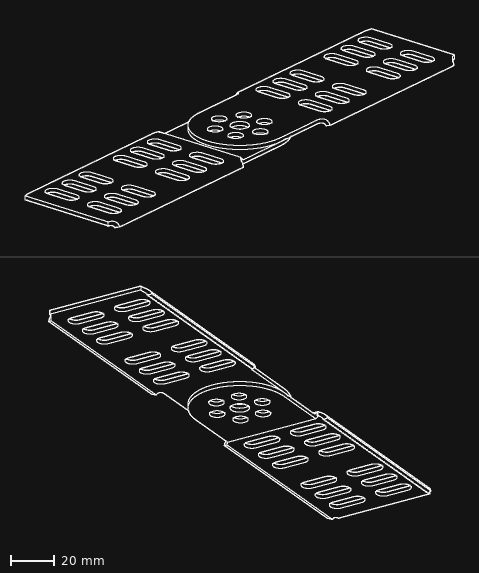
import cadquery as cq
import math


thickness = 2.0
half_length = 127.0
half_width = 24.0

flange_reach = 4.0
bend_angle = math.radians(75)
bend_outer_radius = flange_reach / math.sin(bend_angle)
bend_inner_radius = bend_outer_radius - thickness
flange_root = 27.2
relief_radius = 4.5
end_tab_width = 0.8

joggle_angle = math.radians(45)
joggle_end = 29.2
joggle_start = joggle_end - thickness / math.tan(joggle_angle)
joggle_offset = thickness * math.tan(joggle_angle / 2)

slot_length = 18.0
slot_width = 7.0
slot_first = 40.0
slot_row_span = 75.0
slot_row_steps = (0, 1, 2, 4, 5, 6)
slot_pitch = slot_row_span / slot_row_steps[-1]
slot_columns = (-slot_pitch, slot_pitch)

pivot_diameter = 9.0
index_hole_diameter = 7.0
index_circle_radius = 12.2
index_hole_count = 6
full_turn = 360

cut_depth = 4 * thickness


def bend_point(radius, angle):
    """Point of the bend at an angle from its start at the web, in the XZ plane."""
    x = half_width + radius * math.sin(angle)
    z = thickness - bend_outer_radius + radius * math.cos(angle)
    return (x, z)


def curled_strip(start):
    """Curved strip along the +X edge of the web, from Y = start to the plate end."""
    half_angle = bend_angle / 2
    return (
        cq.Workplane("XZ", origin=(0, start, 0))
        .moveTo(*bend_point(bend_outer_radius, 0))
        .threePointArc(bend_point(bend_outer_radius, half_angle), bend_point(bend_outer_radius, bend_angle))
        .lineTo(*bend_point(bend_inner_radius, bend_angle))
        .threePointArc(bend_point(bend_inner_radius, half_angle), bend_point(bend_inner_radius, 0))
        .close()
        .extrude(start - half_length)
    )


def relief_depth(across):
    """Length along Y in which a corner relief, starting parallel to Y, moves outward by `across`."""
    return math.sqrt(relief_radius ** 2 - (relief_radius - across) ** 2)


def flange(start):
    """One +X flange of a plate running along +Y, with concave relief at both corners."""
    tab_edge = half_width + end_tab_width
    free_edge = half_width + flange_reach
    inner_mid = flange_reach / 2
    outer_rise = free_edge - tab_edge
    outer_mid = outer_rise / 2
    plan = (
        cq.Workplane("XY")
        .workplane(offset=-cut_depth / 2)
        .moveTo(half_width, flange_root)
        .threePointArc(
            (half_width + inner_mid, flange_root + relief_depth(inner_mid)),
            (free_edge, flange_root + relief_depth(flange_reach)),
        )
        .lineTo(free_edge, half_length - relief_depth(outer_rise))
        .threePointArc(
            (tab_edge + outer_mid, half_length - relief_depth(outer_mid)),
            (tab_edge, half_length),
        )
        .lineTo(half_width, half_length)
        .close()
        .extrude(cut_depth)
    )
    return curled_strip(start).intersect(plan)


def add_flanges(web, start):
    """Join a flange to each long edge of the web."""
    right = flange(start)
    return web.union(right).union(right.mirror("YZ"))


def rounded_plan():
    """Plate plan along +Y with a full-round end about the pivot."""
    return (
        cq.Workplane("XY")
        .workplane(offset=-cut_depth / 2)
        .moveTo(-half_width, half_length)
        .lineTo(-half_width, 0)
        .threePointArc((0, -half_width), (half_width, 0))
        .lineTo(half_width, half_length)
        .close()
        .extrude(cut_depth)
    )


def cut_slots(plate):
    """Two columns of crosswise slots, in two groups of three rows."""
    centers = [(x, slot_first + step * slot_pitch) for x in slot_columns for step in slot_row_steps]
    slots = (
        cq.Workplane("XY")
        .workplane(offset=-cut_depth / 2)
        .pushPoints(centers)
        .slot2D(slot_length, slot_width)
        .extrude(cut_depth)
    )
    return plate.cut(slots)


def cut_pivot_holes(plate):
    """Central pivot hole with a ring of index holes around it."""
    base = cq.Workplane("XY").workplane(offset=-cut_depth / 2)
    pivot = base.circle(pivot_diameter / 2).extrude(cut_depth)
    index_holes = (
        base.polarArray(index_circle_radius, 0, full_turn, index_hole_count)
        .circle(index_hole_diameter / 2)
        .extrude(cut_depth)
    )
    return plate.cut(pivot).cut(index_holes)


def finish_plate(profile, flange_start):
    """Turn a YZ side profile of the web into a complete plate along +Y."""
    web = profile.extrude(half_width, both=True).intersect(rounded_plan())
    return cut_pivot_holes(cut_slots(add_flanges(web, flange_start)))


def upper_plate():
    """Flat plate above the joint plane."""
    profile = (
        cq.Workplane("YZ")
        .moveTo(-half_width, 0)
        .lineTo(half_length, 0)
        .lineTo(half_length, thickness)
        .lineTo(-half_width, thickness)
        .close()
    )
    return finish_plate(profile, flange_root)


def lower_plate():
    """Flat lap below the joint plane, then a joggle up to the level of the upper plate."""
    profile = (
        cq.Workplane("YZ")
        .moveTo(-half_width, -thickness)
        .lineTo(joggle_start + joggle_offset, -thickness)
        .lineTo(joggle_end + joggle_offset, 0)
        .lineTo(half_length, 0)
        .lineTo(half_length, thickness)
        .lineTo(joggle_end, thickness)
        .lineTo(joggle_start, 0)
        .lineTo(-half_width, 0)
        .close()
    )
    return finish_plate(profile, joggle_end).mirror("XZ")


upper = upper_plate()
lower = lower_plate()

result = cq.Compound.makeCompound([upper.solids().val(), lower.solids().val()])